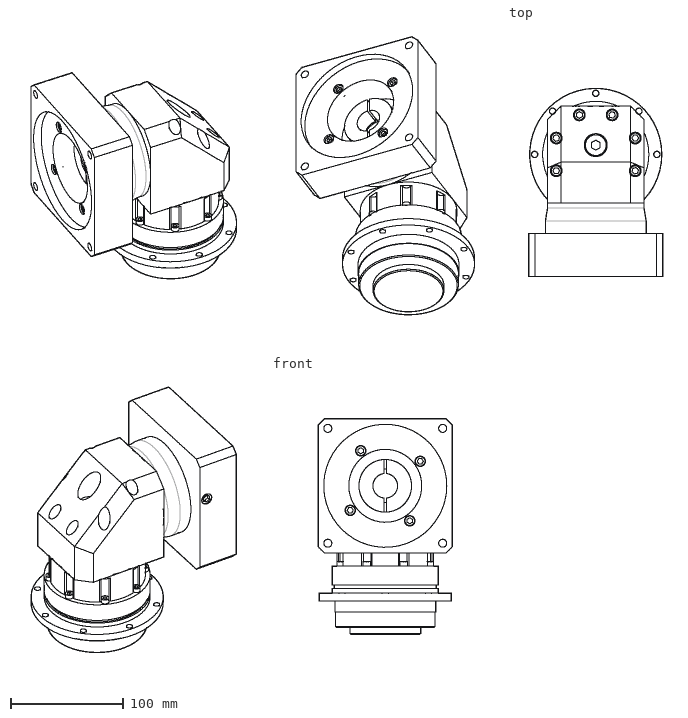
import cadquery as cq
import math


TOTAL_LENGTH = 168.0
TOTAL_HEIGHT = 192.5
PLATE_SIDE = 120.0
FLANGE_RADIUS = 118.0 / 2

BLOCK_HALF = 43.1
BEVEL_CORNER = 7.0
BLOCK_CHAMFER = 12.1
COLLAR_END = 47.7
CONE_END = 59.3
NECK_END = 70.5
NECK_RADIUS = 45.0

SCREW_CIRCLE = 38.1
SCREW_ANGLES = (-22.5, 22.5, 67.5, 112.5, 157.5, 202.5)
SOCKET_START_ANGLE = 112.5
SCREW_HOLE_RADIUS = 5.2
SCREW_HEAD_RADIUS = 4.5
SCREW_SOCKET = 5.2
SCREW_HEAD_TOP = -15.4
PLUG_Y = 8.3
PLUG_HOLE_RADIUS = 10.2
PLUG_RADIUS = 9.2
PLUG_SOCKET = 7.7
PLUG_TOP = 9.6
HEAD_HEIGHT = 5.8
SOCKET_DEPTH = 2.9

PLATE_FRONT = TOTAL_LENGTH - FLANGE_RADIUS
PLATE_CHAMFER = 5.8
PILOT_RADIUS = 54.9
PILOT_DEPTH = 7.7
PLATE_BORE_RADIUS = 32.5
MOUNT_HOLE_OFFSET = 51.2
MOUNT_HOLE_RADIUS = 7.1 / 2
MOUNT_HOLE_DEPTH = 19.2
DRILL_POINT_ANGLE = 118.0
PLATE_SCREW_CIRCLE = SCREW_CIRCLE
PLATE_SCREW_ANGLE = 35.0
PLATE_SCREW_HOLE_RADIUS = 4.6
PLATE_SCREW_HEAD_RADIUS = 4.2
PLATE_SCREW_SOCKET = 4.6
PLATE_SCREW_SINK = 1.5
ACCESS_PLUG_Y = -78.0
ACCESS_PLUG_Z = 17.1
ACCESS_PLUG_RADIUS = 10.2 / 2
ACCESS_PLUG_SOCKET = 6.0
ACCESS_PLUG_SINK = 0.5

HUB_RADIUS = 23.5
HUB_FRONT = 84.9
HUB_BACK = 59.3
HUB_BORE_RADIUS = 11.0
HUB_BORE_DEPTH = 23.1
RELIEF_RADIUS = 15.0
RELIEF_START = 17.3
SLIT_WIDTH = 2.0
SLIT_DEPTH = 19.2

COLUMN_RADIUS = BLOCK_HALF
SLOT_TOP = -46.8
SHELF_TOP = -71.6
GROOVE_TOP = -88.5
GROOVE_BOTTOM = -91.5
FLANGE_TOP = -95.7
FLANGE_BOTTOM = -102.8
BARREL_STEP = -112.6
CASE_BOTTOM = -126.3
RING_RADIUS = 47.4
GROOVE_RADIUS = 45.6
BARREL_RADIUS = 45.0
LOWER_BARREL_RADIUS = 44.5
BARREL_CHAMFER = 1.0
FLANGE_HOLE_CIRCLE = 54.5
FLANGE_HOLE_RADIUS = 2.7
BOLT_COUNT = 8
CASE_BOLT_CIRCLE = 43.0
CASE_BOLT_RADIUS = 3.5
CASE_BOLT_HEIGHT = 4.0
CASE_BOLT_SOCKET = 3.0
SLOT_RADIUS = 3.7
FLARE_START = 42.2
FLARE_HALF_WIDTH = 5.8

SHAFT_RADIUS = 63.3 / 2
SHAFT_TOP = -119.4
SHAFT_BOTTOM = PLATE_SIDE / 2 - TOTAL_HEIGHT
SHAFT_CHAMFER = 1.0


def post(radius, bottom, top):
    """Round post about the Z axis between two levels."""
    return cq.Workplane("XY").workplane(offset=bottom).circle(radius).extrude(top - bottom)


def hex_socket(across_flats, top, depth):
    """Hexagonal prism below a level, with two corners on the Y axis."""
    corner_diameter = across_flats / math.cos(math.pi / 6)
    prism = cq.Workplane("XY").polygon(6, corner_diameter).extrude(-depth)
    return prism.rotate((0, 0, 0), (0, 0, 1), 90).translate((0, 0, top))


def sunken_head(hole_radius, head_radius, socket, mouth, head_top):
    """Cut about the Z axis that leaves a socket head standing at the bottom of a hole."""
    gap = post(hole_radius, head_top - HEAD_HEIGHT, mouth)
    head = post(head_radius, head_top - HEAD_HEIGHT, head_top)
    return gap.cut(head).union(hex_socket(socket, head_top, SOCKET_DEPTH))


def facing_motor(shape):
    """Turn a shape made along +Z so that it points along -Y."""
    return shape.rotate((0, 0, 0), (1, 0, 0), 90)


def make_block():
    """Cube with a 45 degree back bevel, chamfered along both sides of its top and back."""
    block = (
        cq.Workplane("YZ")
        .moveTo(-BLOCK_HALF, -BLOCK_HALF)
        .lineTo(-BLOCK_HALF, BLOCK_HALF)
        .lineTo(-BEVEL_CORNER, BLOCK_HALF)
        .lineTo(BLOCK_HALF, -BEVEL_CORNER)
        .lineTo(BLOCK_HALF, -BLOCK_HALF)
        .close()
        .extrude(BLOCK_HALF, both=True)
    )
    bevel_middle = (BLOCK_HALF - BEVEL_CORNER) / 2
    edge_middles = (
        (-(BLOCK_HALF + BEVEL_CORNER) / 2, BLOCK_HALF),
        (bevel_middle, bevel_middle),
        (BLOCK_HALF, -(BLOCK_HALF + BEVEL_CORNER) / 2),
    )
    edges = block.newObject([])
    for side in (-BLOCK_HALF, BLOCK_HALF):
        for y, z in edge_middles:
            edges = edges.add(block.edges(cq.NearestToPointSelector((side, y, z))))
    return block.newObject(edges.vals()).chamfer(BLOCK_CHAMFER)


def make_housing():
    """Angle housing: block, flared neck, sunken screws, oil plug and seat for the hub."""
    neck = (
        cq.Workplane("XZ")
        .moveTo(0, BLOCK_HALF)
        .lineTo(BLOCK_HALF, BLOCK_HALF)
        .lineTo(BLOCK_HALF, COLLAR_END)
        .lineTo(NECK_RADIUS, CONE_END)
        .lineTo(NECK_RADIUS, NECK_END)
        .lineTo(0, NECK_END)
        .close()
        .revolve(360, (0, 0, 0), (0, 1, 0))
    )
    housing = make_block().union(facing_motor(neck))

    screw = sunken_head(SCREW_HOLE_RADIUS, SCREW_HEAD_RADIUS, SCREW_SOCKET, BLOCK_HALF, SCREW_HEAD_TOP)
    for angle in SCREW_ANGLES:
        turned = screw.rotate((0, 0, 0), (0, 0, 1), angle - SOCKET_START_ANGLE)
        x = SCREW_CIRCLE * math.cos(math.radians(angle))
        y = SCREW_CIRCLE * math.sin(math.radians(angle))
        housing = housing.cut(turned.translate((x, y, 0)))

    plug = sunken_head(PLUG_HOLE_RADIUS, PLUG_RADIUS, PLUG_SOCKET, BLOCK_HALF, PLUG_TOP)
    housing = housing.cut(plug.translate((0, PLUG_Y, 0)))
    return housing.cut(facing_motor(post(HUB_RADIUS, HUB_BACK, NECK_END)))


def make_motor_plate():
    """Square plate with motor pilot, central bore, screws, mounting holes and access plug."""
    floor = PLATE_FRONT - PILOT_DEPTH
    plate = (
        cq.Workplane("XY")
        .workplane(offset=NECK_END)
        .rect(PLATE_SIDE, PLATE_SIDE)
        .extrude(PLATE_FRONT - NECK_END)
        .edges("|Z")
        .chamfer(PLATE_CHAMFER)
        .cut(post(PILOT_RADIUS, floor, PLATE_FRONT))
        .cut(post(PLATE_BORE_RADIUS, NECK_END, PLATE_FRONT))
    )

    screw = sunken_head(
        PLATE_SCREW_HOLE_RADIUS, PLATE_SCREW_HEAD_RADIUS, PLATE_SCREW_SOCKET,
        floor, floor - PLATE_SCREW_SINK,
    )
    for quarter in range(4):
        turned = screw.rotate((0, 0, 0), (0, 0, 1), 90 * (quarter - 1))
        angle = math.radians(PLATE_SCREW_ANGLE + 90 * quarter)
        x = PLATE_SCREW_CIRCLE * math.cos(angle)
        y = PLATE_SCREW_CIRCLE * math.sin(angle)
        plate = plate.cut(turned.translate((x, y, 0)))

    point_depth = MOUNT_HOLE_RADIUS / math.tan(math.radians(DRILL_POINT_ANGLE / 2))
    shoulder = PLATE_FRONT - MOUNT_HOLE_DEPTH
    drill = (
        cq.Workplane("XZ")
        .moveTo(0, shoulder - point_depth)
        .lineTo(MOUNT_HOLE_RADIUS, shoulder)
        .lineTo(MOUNT_HOLE_RADIUS, PLATE_FRONT)
        .lineTo(0, PLATE_FRONT)
        .close()
        .revolve(360, (0, 0, 0), (0, 1, 0))
    )
    for x in (-MOUNT_HOLE_OFFSET, MOUNT_HOLE_OFFSET):
        for y in (-MOUNT_HOLE_OFFSET, MOUNT_HOLE_OFFSET):
            plate = plate.cut(drill.translate((x, y, 0)))
    plate = facing_motor(plate)

    plug = post(ACCESS_PLUG_RADIUS, -ACCESS_PLUG_SINK, 0)
    plug = plug.union(hex_socket(ACCESS_PLUG_SOCKET, -ACCESS_PLUG_SINK, SOCKET_DEPTH))
    plug = plug.rotate((0, 0, 0), (0, 0, 1), 90).rotate((0, 0, 0), (0, 1, 0), -90)
    return plate.cut(plug.translate((-PLATE_SIDE / 2, ACCESS_PLUG_Y, ACCESS_PLUG_Z)))


def make_clamp_hub():
    """Slit clamp hub with a blind motor bore that widens at its inner end."""
    bore_floor = HUB_FRONT - HUB_BORE_DEPTH
    slit = (
        cq.Workplane("XY")
        .workplane(offset=HUB_FRONT - SLIT_DEPTH)
        .rect(SLIT_WIDTH, 2 * HUB_RADIUS)
        .extrude(SLIT_DEPTH)
    )
    hub = (
        post(HUB_RADIUS, HUB_BACK, HUB_FRONT)
        .cut(post(HUB_BORE_RADIUS, bore_floor, HUB_FRONT))
        .cut(post(RELIEF_RADIUS, bore_floor, HUB_FRONT - RELIEF_START))
        .cut(slit)
    )
    return facing_motor(hub)


def make_case_slot():
    """Screw slot in the column at +X: a bore on the bolt circle with a flared mouth."""
    bore = post(SLOT_RADIUS, SHELF_TOP, SLOT_TOP).translate((CASE_BOLT_CIRCLE, 0, 0))
    flare = (
        cq.Workplane("XY")
        .workplane(offset=SHELF_TOP)
        .polyline([
            (FLARE_START, -SLOT_RADIUS),
            (COLUMN_RADIUS, -FLARE_HALF_WIDTH),
            (COLUMN_RADIUS, FLARE_HALF_WIDTH),
            (FLARE_START, SLOT_RADIUS),
        ])
        .close()
        .extrude(SLOT_TOP - SHELF_TOP)
    )
    return bore.union(flare)


def make_gear_case():
    """Planetary case: slotted column, grooved ring, drilled flange and stepped barrel."""
    barrel = post(LOWER_BARREL_RADIUS, CASE_BOTTOM, BARREL_STEP).faces("<Z").edges().chamfer(BARREL_CHAMFER)
    case = (
        post(COLUMN_RADIUS, SHELF_TOP, -BLOCK_HALF)
        .union(post(RING_RADIUS, GROOVE_TOP, SHELF_TOP))
        .union(post(GROOVE_RADIUS, GROOVE_BOTTOM, GROOVE_TOP))
        .union(post(RING_RADIUS, FLANGE_TOP, GROOVE_BOTTOM))
        .union(post(FLANGE_RADIUS, FLANGE_BOTTOM, FLANGE_TOP))
        .union(post(BARREL_RADIUS, BARREL_STEP, FLANGE_BOTTOM))
        .union(barrel)
    )

    bolt_top = SHELF_TOP + CASE_BOLT_HEIGHT
    bolt = post(CASE_BOLT_RADIUS, SHELF_TOP, bolt_top)
    bolt = bolt.cut(hex_socket(CASE_BOLT_SOCKET, bolt_top, SOCKET_DEPTH))
    bolt = bolt.translate((CASE_BOLT_CIRCLE, 0, 0))
    slot = make_case_slot()
    flange_hole = post(FLANGE_HOLE_RADIUS, FLANGE_BOTTOM, FLANGE_TOP).translate((FLANGE_HOLE_CIRCLE, 0, 0))
    pitch = 360 / BOLT_COUNT
    for index in range(BOLT_COUNT):
        bolt_angle = (index + 0.5) * pitch
        case = case.cut(slot.rotate((0, 0, 0), (0, 0, 1), bolt_angle))
        case = case.union(bolt.rotate((0, 0, 0), (0, 0, 1), bolt_angle))
        case = case.cut(flange_hole.rotate((0, 0, 0), (0, 0, 1), index * pitch))
    return case.cut(post(SHAFT_RADIUS, CASE_BOTTOM, SHAFT_TOP))


def make_output_shaft():
    """Output shaft end seated in the bottom of the gear case."""
    return post(SHAFT_RADIUS, SHAFT_BOTTOM, SHAFT_TOP).faces("<Z").edges().chamfer(SHAFT_CHAMFER)


housing = make_housing()
motor_plate = make_motor_plate()
clamp_hub = make_clamp_hub()
gear_case = make_gear_case()
output_shaft = make_output_shaft()

result = cq.Compound.makeCompound([
    housing.val(),
    motor_plate.val(),
    clamp_hub.val(),
    gear_case.val(),
    output_shaft.val(),
])